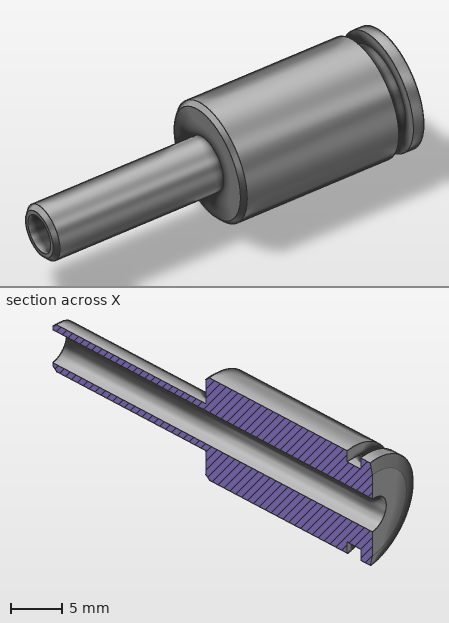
import cadquery as cq

total_length = 40.75
stem_length = 19.48
flange_width = 1.5
groove_width = 1.7

body_diameter = 13.0
groove_diameter = 10.2
stem_diameter = 6.0
bore_diameter = 4.1

edge_chamfer = 0.5
flange_chamfer_length = 0.3
flange_chamfer_depth = 1.4

stem_tip = -total_length / 2
body_start = stem_tip + stem_length
flange_end = total_length / 2
groove_end = flange_end - flange_width
groove_start = groove_end - groove_width

body_radius = body_diameter / 2
groove_radius = groove_diameter / 2
stem_radius = stem_diameter / 2
bore_radius = bore_diameter / 2

half_section = (
    cq.Workplane("XY")
    .moveTo(bore_radius, stem_tip)
    .lineTo(stem_radius - edge_chamfer, stem_tip)
    .lineTo(stem_radius, stem_tip + edge_chamfer)
    .lineTo(stem_radius, body_start)
    .lineTo(body_radius - edge_chamfer, body_start)
    .lineTo(body_radius, body_start + edge_chamfer)
    .lineTo(body_radius, groove_start)
    .lineTo(groove_radius, groove_start)
    .lineTo(groove_radius, groove_end)
    .lineTo(body_radius, groove_end)
    .lineTo(body_radius, flange_end - flange_chamfer_length)
    .lineTo(body_radius - flange_chamfer_depth, flange_end)
    .lineTo(bore_radius, flange_end)
    .close()
)

result = half_section.revolve(360, (0, 0, 0), (0, 1, 0))